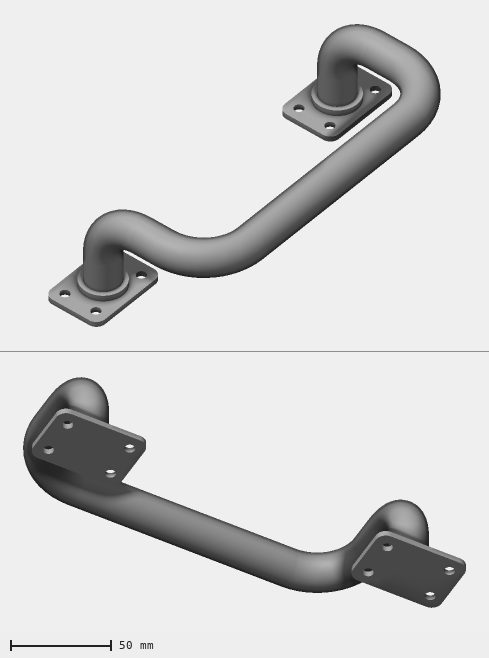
import cadquery as cq

overall_length = 230.0
overall_height = 60.0

plate_width = 35.0
plate_length = 50.0
plate_thickness = 3.2
plate_corner_radius = 5.5
hole_diameter = 5.5
hole_spacing_x = 20.0
hole_spacing_y = 35.0

collar_diameter = 25.5
collar_height = 3.7

bar_diameter = 20.0
leg_bend_radius = 25.0
grip_bend_radius = 30.0
arm_straight_length = 15.0

leg_y = (overall_length - plate_length) / 2
arm_z = overall_height - bar_diameter / 2
leg_bend_start_z = arm_z - leg_bend_radius
grip_bend_start_x = leg_bend_radius + arm_straight_length
grip_x = grip_bend_start_x + grip_bend_radius
grip_end_y = leg_y - grip_bend_radius


def mounting_plate(y):
    """Rounded plate with four through holes, centred under a leg."""
    return (
        cq.Workplane("XY", origin=(0, y, 0))
        .rect(plate_width, plate_length)
        .extrude(plate_thickness)
        .edges("|Z")
        .fillet(plate_corner_radius)
        .faces(">Z")
        .workplane(origin=(0, y, plate_thickness))
        .rect(hole_spacing_x, hole_spacing_y, forConstruction=True)
        .vertices()
        .hole(hole_diameter)
    )


def collar(y):
    """Short disc on top of a plate, around the foot of a leg."""
    return (
        cq.Workplane("XY", origin=(0, y, plate_thickness))
        .circle(collar_diameter / 2)
        .extrude(collar_height)
    )


def bar_half(side):
    """One half of the bar, from its plate to the middle of the grip; side is +1 or -1 along Y."""
    y = side * leg_y
    foot = cq.Vector(0, y, plate_thickness)
    leg_top = cq.Vector(0, y, leg_bend_start_z)
    arm_start = cq.Vector(leg_bend_radius, y, arm_z)
    arm_end = cq.Vector(grip_bend_start_x, y, arm_z)
    grip_end = cq.Vector(grip_x, side * grip_end_y, arm_z)
    grip_middle = cq.Vector(grip_x, 0, arm_z)
    up = cq.Vector(0, 0, 1)
    forward = cq.Vector(1, 0, 0)

    path = cq.Wire.assembleEdges([
        cq.Edge.makeLine(foot, leg_top),
        cq.Edge.makeTangentArc(leg_top, up, arm_start),
        cq.Edge.makeLine(arm_start, arm_end),
        cq.Edge.makeTangentArc(arm_end, forward, grip_end),
        cq.Edge.makeLine(grip_end, grip_middle),
    ])
    return (
        cq.Workplane("XY", origin=foot.toTuple())
        .circle(bar_diameter / 2)
        .sweep(cq.Workplane(obj=path))
    )


result = bar_half(1).union(bar_half(-1))
for side in (1, -1):
    result = result.union(collar(side * leg_y)).union(mounting_plate(side * leg_y))
result = result.clean()